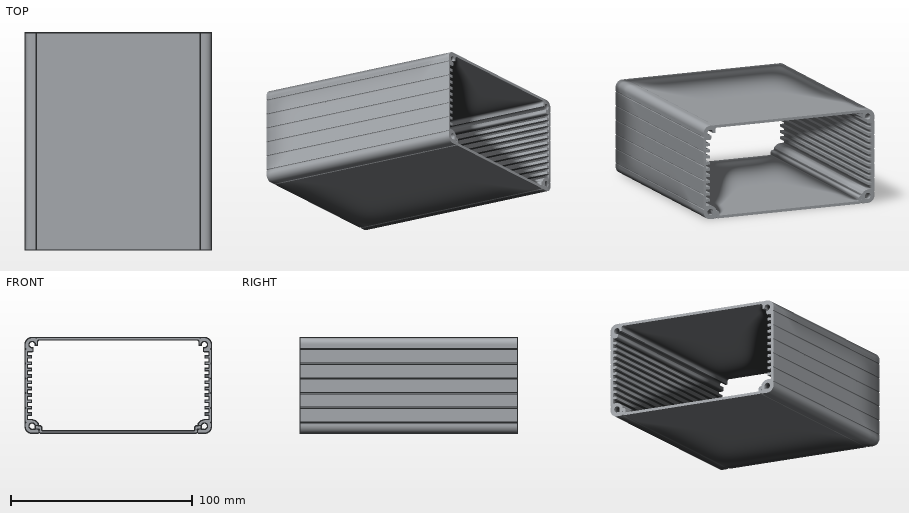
import cadquery as cq
import math

WIDTH = 103.0
LENGTH = 120.0
HEIGHT = 53.0
CORNER_RADIUS = 4.0
PANEL_THICKNESS = 1.5
SIDE_THICKNESS = 1.5

LEFT = -WIDTH / 2
TOP = HEIGHT / 2
BOTTOM = -HEIGHT / 2

RIB_COUNT = 10
RIB_PITCH = 3.5
RIB_THICKNESS = 1.5
RIB_TIP = 3.75
CARD_SLOT = RIB_PITCH - RIB_THICKNESS
RIB_SPAN = (RIB_COUNT - 1) * RIB_PITCH + RIB_THICKNESS

SCREW_RADIUS = 1.7
SCREW_X = LEFT + CORNER_RADIUS
UPPER_SCREW_Z = TOP - CORNER_RADIUS
LOWER_SCREW_Z = BOTTOM + CORNER_RADIUS

HOOK_OUTER = 5.6
HOOK_INNER = 7.0
HOOK_DROP = 4.4
HOOK_FILLET = 1.0
LUG_TIP = 4.6
LUG_TOP = 5.65
LUG_BOTTOM = HEIGHT / 2 - RIB_SPAN / 2 - CARD_SLOT
LUG_ROUND = 0.9

SLOT_BOTTOM = 2.4
SLOT_TOP = 4.3
SEAM = 7.9
SEAM_CHAMFER = 0.6
FOOT_TOP_CHAMFER = 0.7
BOSS_TOP = 7.7
BOSS_STEP = 0.3
BOSS_CROWN_RADIUS = 3.55
BOSS_CROWN_RUN = 2.9
BOSS_END = 7.5
BOSS_END_Z = 5.4

TONGUE_TIP = 5.6
STEM_INNER = 9.4
STEM_ROUND = 1.2
STEM_FILLET = 0.3

SIDE_GROOVE_RADIUS = 0.35
SIDE_GROOVE_COUNT = 6
SIDE_GROOVE_PITCH = 8.12
SIDE_GROOVE_DROP = 0.2
TOP_GROOVE_RADIUS = 0.25
TOP_GROOVE_INSET = 6.25


def profile(x, z):
    """Sketch plane on the front end of the case, with its origin at (x, z)."""
    return cq.Workplane("XZ", origin=(x, -LENGTH / 2, z))


def full_length(sketch):
    return sketch.extrude(-LENGTH)


def block(x0, x1, z0, z1):
    """Full-length bar between two X and two Z positions."""
    return full_length(profile(x0, z0).rect(x1 - x0, z1 - z0, centered=False))


def rod(x, z, radius):
    return full_length(profile(x, z).circle(radius))


def concave_fillet(x, z, radius):
    """Fillet in the inside corner at (x, z), reaching toward +X and mid-height."""
    direction = -math.copysign(1, z)
    web = profile(x, z).lineTo(0, direction * radius)
    web = web.radiusArc((radius, 0), direction * -radius).close()
    return full_length(web)


def upper_corner():
    """Hook under the top panel and lug on the side wall around an open screw channel."""
    hook = block(LEFT, LEFT + HOOK_INNER, TOP - HOOK_DROP, TOP)
    hook = hook.union(concave_fillet(LEFT + HOOK_INNER, TOP - PANEL_THICKNESS, HOOK_FILLET))
    lug = block(LEFT, LEFT + LUG_TIP, TOP - LUG_BOTTOM, UPPER_SCREW_Z)
    lug = lug.edges(">X and <Z").fillet(LUG_ROUND)
    opening = block(SCREW_X, LEFT + HOOK_OUTER, TOP - LUG_TOP, UPPER_SCREW_Z)
    channel = rod(SCREW_X, UPPER_SCREW_Z, SCREW_RADIUS)
    return hook.union(lug).cut(opening).cut(channel)


def lower_corner():
    """Screw boss above a foot, with the slot for the plate's tongue between them."""
    crown_start = math.sqrt(BOSS_CROWN_RADIUS**2 - BOSS_STEP**2)
    crown_end = math.sqrt(BOSS_CROWN_RADIUS**2 - BOSS_CROWN_RUN**2)
    boss = full_length(
        profile(SCREW_X, LOWER_SCREW_Z)
        .moveTo(-CORNER_RADIUS, SLOT_BOTTOM - CORNER_RADIUS)
        .lineTo(-CORNER_RADIUS, BOSS_TOP - CORNER_RADIUS)
        .lineTo(0, BOSS_TOP - CORNER_RADIUS)
        .lineTo(BOSS_STEP, crown_start)
        .radiusArc((BOSS_CROWN_RUN, crown_end), BOSS_CROWN_RADIUS)
        .lineTo(BOSS_END - CORNER_RADIUS, BOSS_END_Z - CORNER_RADIUS)
        .lineTo(BOSS_END - CORNER_RADIUS, SLOT_BOTTOM - CORNER_RADIUS)
        .close()
    )
    foot = block(LEFT, LEFT + SEAM, BOTTOM, BOTTOM + SLOT_BOTTOM)
    foot = foot.edges(">X and <Z").chamfer(SEAM_CHAMFER)
    foot = foot.edges(">X and >Z").chamfer(FOOT_TOP_CHAMFER)
    slot = block(SCREW_X, LEFT + SEAM, BOTTOM + SLOT_BOTTOM, BOTTOM + SLOT_TOP)
    hole = rod(SCREW_X, LOWER_SCREW_Z, SCREW_RADIUS)
    return boss.union(foot).cut(slot).cut(hole)


def half_cover():
    half = block(LEFT, 0, TOP - PANEL_THICKNESS, TOP)
    half = half.union(block(LEFT, LEFT + SIDE_THICKNESS, BOTTOM, TOP))
    half = half.union(upper_corner()).union(lower_corner())
    for i in range(RIB_COUNT):
        z = i * RIB_PITCH - RIB_SPAN / 2
        half = half.union(block(LEFT, LEFT + RIB_TIP, z, z + RIB_THICKNESS))
    for i in range(SIDE_GROOVE_COUNT):
        z = (i - (SIDE_GROOVE_COUNT - 1) / 2) * SIDE_GROOVE_PITCH - SIDE_GROOVE_DROP
        half = half.cut(rod(LEFT, z, SIDE_GROOVE_RADIUS))
    half = half.cut(rod(LEFT + TOP_GROOVE_INSET, TOP, TOP_GROOVE_RADIUS))
    envelope = block(LEFT, -LEFT, BOTTOM, TOP).edges("|Y").fillet(CORNER_RADIUS)
    return half.intersect(envelope)


def half_plate():
    floor = block(LEFT + SEAM, 0, BOTTOM, BOTTOM + PANEL_THICKNESS)
    floor = floor.edges("<X and <Z").chamfer(SEAM_CHAMFER)
    stem = block(LEFT + SEAM, LEFT + STEM_INNER, BOTTOM + PANEL_THICKNESS, BOTTOM + SLOT_TOP)
    tongue = block(LEFT + TONGUE_TIP, LEFT + STEM_INNER, BOTTOM + SLOT_BOTTOM, BOTTOM + SLOT_TOP)
    arm = stem.union(tongue).edges(">X and >Z").fillet(STEM_ROUND)
    root = concave_fillet(LEFT + STEM_INNER, BOTTOM + PANEL_THICKNESS, STEM_FILLET)
    return floor.union(arm).union(root)


def both_halves(half):
    return half.union(half.mirror("YZ"))


cover = both_halves(half_cover())
bottom_plate = both_halves(half_plate())

result = cq.Compound.makeCompound([cover.val(), bottom_plate.val()])